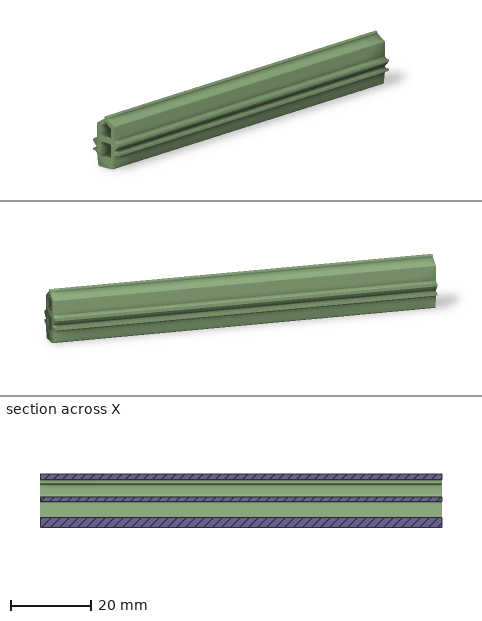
import cadquery as cq

length = 100.0
width = 8.5
height = 13.4

body_half = 2.9
base_half = 2.5
base_round = 0.5
shoulder_z = 11.2
shoulder_round = 0.3
crest_half = 0.5
crest_foot_z = 12.7

fin_half = width / 2
upper_fin_top = 6.8
upper_fin_edge = 6.2
upper_fin_root = 7.4
groove_half = 2.9
groove_z = 4.8
lower_fin_top = 4.4
lower_fin_bottom = 3.8
lower_fin_root = 3.2
root_reach = 0.7
groove_bevel = 0.3

chamber_half = 1.7
lower_floor = 2.6
lower_ceiling = 6.5
lower_round = 0.6
upper_floor = 7.7
upper_floor_round = 0.5
upper_wall_top = 10.6
roof_flat_half = 0.9
roof_flat_z = 11.1
notch_half = 0.6
notch_top = 11.9

edge_margin = 0.01


def outline_side():
    """Right-hand outline, from the base up to the foot of the crest."""
    return [
        (base_half, 0),
        (body_half, lower_fin_root),
        (body_half + lower_fin_bottom - lower_fin_root, lower_fin_bottom),
        (fin_half, lower_fin_bottom),
        (fin_half, lower_fin_top),
        (groove_half + groove_bevel, lower_fin_top),
        (groove_half, lower_fin_top + groove_bevel),
        (groove_half, groove_z),
        (fin_half, upper_fin_edge),
        (fin_half, upper_fin_top),
        (body_half + root_reach, upper_fin_top),
        (body_half, upper_fin_root),
        (body_half, shoulder_z),
        (crest_half, crest_foot_z),
    ]


def mirrored(points):
    """The same points reflected in the middle plane, in reverse order."""
    return [(-x, z) for x, z in reversed(points)]


def edges_at_height(workplane, z):
    """Lengthwise edges lying at height z."""
    low_corner = (-width, 0, z - edge_margin)
    high_corner = (width, length, z + edge_margin)
    return workplane.edges("|Y").edges(cq.selectors.BoxSelector(low_corner, high_corner))


def make_body():
    side = outline_side()
    crest_spring = height - crest_half
    body = (
        cq.Workplane("XZ")
        .polyline(side)
        .lineTo(crest_half, crest_spring)
        .threePointArc((0, height), (-crest_half, crest_spring))
    )
    for x, z in mirrored(side):
        body = body.lineTo(x, z)
    body = body.close().extrude(-length)
    body = edges_at_height(body, 0).fillet(base_round)
    return edges_at_height(body, shoulder_z).fillet(shoulder_round)


def make_lower_chamber():
    chamber = (
        cq.Workplane("XZ")
        .center(0, (lower_floor + lower_ceiling) / 2)
        .rect(2 * chamber_half, lower_ceiling - lower_floor)
        .extrude(-length)
    )
    return edges_at_height(chamber, lower_ceiling).fillet(lower_round)


def make_upper_chamber():
    side = [
        (chamber_half, upper_floor),
        (chamber_half, upper_wall_top),
        (roof_flat_half, roof_flat_z),
        (notch_half, roof_flat_z),
    ]
    notch_spring = notch_top - notch_half
    chamber = (
        cq.Workplane("XZ")
        .polyline(side)
        .lineTo(notch_half, notch_spring)
        .threePointArc((0, notch_top), (-notch_half, notch_spring))
    )
    for x, z in mirrored(side):
        chamber = chamber.lineTo(x, z)
    chamber = chamber.close().extrude(-length)
    return edges_at_height(chamber, upper_floor).fillet(upper_floor_round)


result = make_body().cut(make_lower_chamber()).cut(make_upper_chamber())
result = result.translate((0, -length / 2, 0))